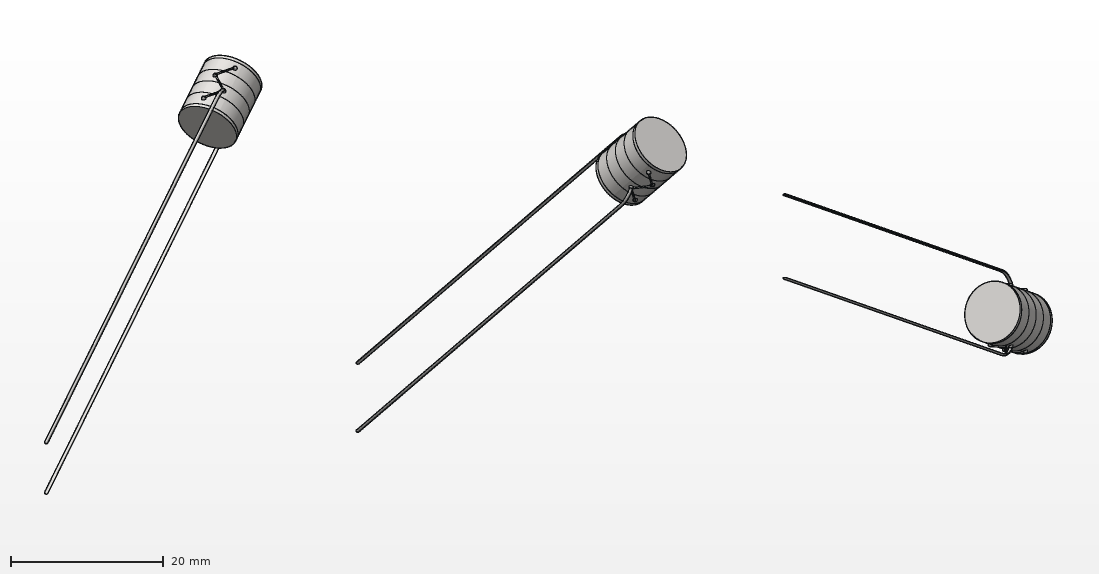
import cadquery as cq
import math

BODY_RADIUS = 4.1
BODY_LENGTH = 9.0
CAP_LENGTH = 0.5
CELL_COUNT = 4
CELL_LENGTH = (BODY_LENGTH - 2 * CAP_LENGTH) / CELL_COUNT
CONTACT_HALF_WIDTH = 1.6

OVERALL_LENGTH = 68.55
OVERALL_HEIGHT = 11.45
LEAD_RADIUS = 0.24
LEAD_X = 0.9
LEAD_FLAT_Z = OVERALL_HEIGHT / 2 - LEAD_RADIUS
LEAD_CELL = 2
BEND_LENGTH = 2.5
QUARTER_TURN = 90

LINK_RADIUS = 0.1
LINK_EMBED = 0.035
LINK_AXIS_Z = BODY_RADIUS + LINK_RADIUS - LINK_EMBED
JOINT_RADIUS = 0.31
LEFT_JOINT_X = -1.1


def cell_back_y(index):
    return -CAP_LENGTH - index * CELL_LENGTH


def joint_place(index):
    """X and Y of the joint in the middle of a cell; the joints alternate right and left."""
    x = LEAD_X if index % 2 == 0 else LEFT_JOINT_X
    return x, cell_back_y(index) - CELL_LENGTH / 2


def make_cap(back_y):
    return cq.Workplane("XZ", origin=(0, back_y, 0)).circle(BODY_RADIUS).extrude(CAP_LENGTH)


def make_cell(back_y):
    """Round disc whose rim is split into contact strips at top and bottom and two plain sides.

    The four rim faces share one radius, so the extrusion is left uncleaned to keep them apart.
    """
    edge_x = CONTACT_HALF_WIDTH
    edge_z = math.sqrt(BODY_RADIUS**2 - edge_x**2)
    return (
        cq.Workplane("XZ", origin=(0, back_y, 0))
        .moveTo(-edge_x, edge_z)
        .threePointArc((0, BODY_RADIUS), (edge_x, edge_z))
        .threePointArc((BODY_RADIUS, 0), (edge_x, -edge_z))
        .threePointArc((0, -BODY_RADIUS), (-edge_x, -edge_z))
        .threePointArc((-BODY_RADIUS, 0), (-edge_x, edge_z))
        .close()
        .extrude(CELL_LENGTH, clean=False)
    )


def make_link_wire(start, end):
    """Straight round wire between two joint centres."""
    run = cq.Vector(end[0] - start[0], end[1] - start[1], 0)
    plane = cq.Plane(origin=(start[0], start[1], LINK_AXIS_Z), xDir=(0, 0, 1), normal=run.toTuple())
    return cq.Workplane(plane).circle(LINK_RADIUS).extrude(run.Length)


def make_joint(place):
    """Ball centred on the surface of the stack."""
    x, y = place
    surface_z = math.sqrt(BODY_RADIUS**2 - x**2)
    return cq.Workplane("XY", origin=(x, y, surface_z)).sphere(JOINT_RADIUS)


def half_round(plane):
    """Lead section: a half disc whose flat side lies on the local X axis."""
    return (
        cq.Workplane(plane)
        .moveTo(-LEAD_RADIUS, 0)
        .threePointArc((0, LEAD_RADIUS), (LEAD_RADIUS, 0))
        .close()
    )


def make_lead_wire():
    """Lead that bends up from its joint, runs straight to the front and ends in a rounded tip."""
    start_y = joint_place(LEAD_CELL)[1]
    bend_end_y = start_y - BEND_LENGTH
    turn = 2 * math.atan2(LEAD_FLAT_Z - LINK_AXIS_Z, BEND_LENGTH)
    bend_radius = BEND_LENGTH / math.sin(turn)
    tip_y = -OVERALL_LENGTH + LEAD_RADIUS

    bend_end = cq.Plane(origin=(LEAD_X, bend_end_y, LEAD_FLAT_Z), xDir=(1, 0, 0), normal=(0, -1, 0))
    bend = half_round(bend_end).revolve(math.degrees(turn), (0, -bend_radius, 0), (-1, -bend_radius, 0))
    straight = half_round(bend_end).extrude(bend_end_y - tip_y)
    tip_plane = cq.Plane(origin=(LEAD_X, tip_y, LEAD_FLAT_Z), xDir=(1, 0, 0), normal=(0, -1, 0))
    tip = half_round(tip_plane).revolve(QUARTER_TURN, (0, 0, 0), (1, 0, 0))
    return bend.union(straight).union(tip)


def make_top_lead():
    """Lead with its zigzag link, resting on the surface of the stack."""
    places = [joint_place(index) for index in range(CELL_COUNT)]
    lead = make_lead_wire()
    for place in places:
        lead = lead.union(make_joint(place))
    for start, end in zip(places, places[1:]):
        lead = lead.union(make_link_wire(start, end))
    stack = cq.Workplane("XZ").circle(BODY_RADIUS).extrude(BODY_LENGTH)
    return lead.cut(stack)


caps = [make_cap(back_y) for back_y in (0, cell_back_y(CELL_COUNT))]
cells = [make_cell(cell_back_y(index)) for index in range(CELL_COUNT)]
top_lead = make_top_lead()
leads = [top_lead, top_lead.mirror("XY")]

result = cq.Compound.makeCompound([body.val() for body in caps + cells + leads])